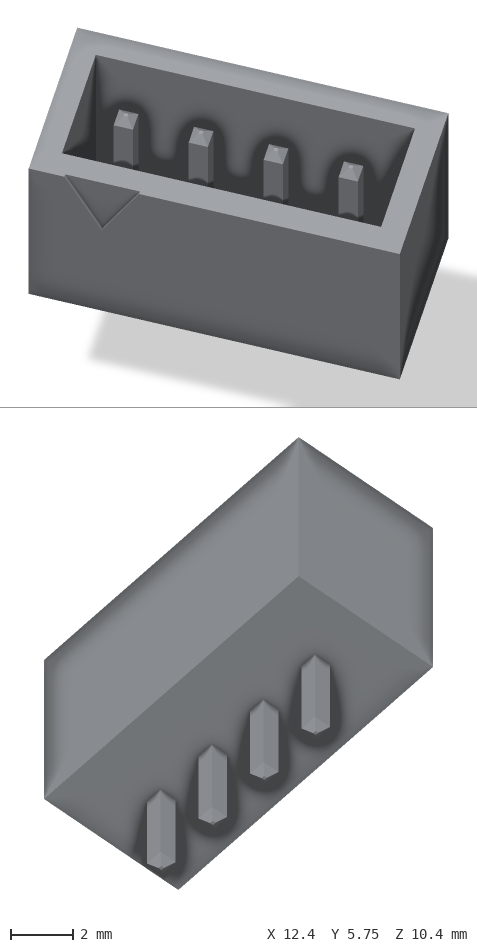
import cadquery as cq

housing_length = 12.4
housing_width = 5.75
housing_height = 7.0
wall = 0.87
floor_thickness = 0.99

pin_count = 4
pin_pitch = 2.5
pin_side = 0.65
pin_flat = 0.12
pin_tip = 0.26
pin_bottom = -3.4
pin_top = housing_height

mark_width = pin_pitch
mark_height = pin_pitch
mark_depth = 0.1

first_pin_x = -pin_pitch * (pin_count - 1) / 2
pin_places = [first_pin_x + i * pin_pitch for i in range(pin_count)]


def make_housing():
    """Box with a rectangular cavity, a pin-one mark and square pin holes."""
    body = cq.Workplane("XY").box(
        housing_length, housing_width, housing_height, centered=(True, True, False)
    )
    cavity = (
        cq.Workplane("XY", origin=(0, 0, floor_thickness))
        .rect(housing_length - 2 * wall, housing_width - 2 * wall)
        .extrude(housing_height - floor_thickness)
    )
    pin_holes = (
        cq.Workplane("XY")
        .pushPoints([(x, 0) for x in pin_places])
        .rect(pin_side, pin_side)
        .extrude(floor_thickness)
    )
    return body.cut(cavity).cut(pin_holes).cut(make_mark())


def make_mark():
    """Triangular prism pointing down from the rim, above the first pin."""
    return (
        cq.Workplane("XZ", origin=(first_pin_x, -housing_width / 2, housing_height))
        .moveTo(-mark_width / 2, 0)
        .lineTo(mark_width / 2, 0)
        .lineTo(0, -mark_height)
        .close()
        .extrude(-mark_depth)
    )


def make_tip(x, base_z, end_z):
    """Blunt pyramid from the full pin section to the small end flat."""
    return (
        cq.Workplane("XY", origin=(x, 0, base_z))
        .rect(pin_side, pin_side)
        .workplane(offset=end_z - base_z)
        .rect(pin_flat, pin_flat)
        .loft(ruled=True)
    )


def make_pin(x):
    """Square pin with a pyramid tip at each end."""
    shank_bottom = pin_bottom + pin_tip
    shank_top = pin_top - pin_tip
    shank = (
        cq.Workplane("XY", origin=(x, 0, shank_bottom))
        .rect(pin_side, pin_side)
        .extrude(shank_top - shank_bottom)
    )
    lower_tip = make_tip(x, shank_bottom, pin_bottom)
    upper_tip = make_tip(x, shank_top, pin_top)
    return shank.union(lower_tip).union(upper_tip)


housing = make_housing()
pins = [make_pin(x) for x in pin_places]
result = cq.Compound.makeCompound([housing.val(), *[pin.val() for pin in pins]])